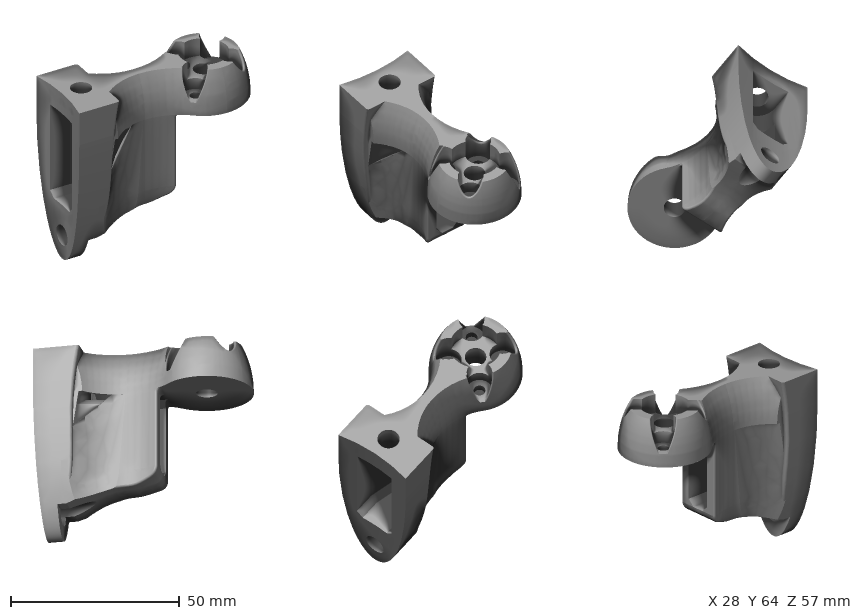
import cadquery as cq
import math


HEAD_RADIUS = 14.0
HEAD_HEIGHT = 14.0
DOME_INSET = 3.2
POCKET_RADIUS = 7.7
POCKET_DEPTH = 6.0
HEAD_HOLE_RADIUS = 3.2
LOBE_RADIUS = 3.8
LOBE_DEPTH = 9.75
LOBE_HOLE_RADIUS = 1.75
LOBE_HOLE_DEPTH = 12.0
NEAR_LOBE_OFFSET = 8.0
FIRST_LOBE_ANGLE = -135.0
FAR_LOBE_OFFSET = 9.5
NEAR_NOTCH_ROUND = 0.45
FAR_NOTCH_ROUND = 0.3

BLOCK_HALF_WIDTH = 12.65
PART_HEIGHT = 57.0
OUTLINE_STRAIGHT = 11.0
FRONT_Y = -50.0
FRONT_SAGITTA = 1.5
TAB_TOP_Z = -48.2
TAB_BACK_Y = -43.8
BLOCK_BACK_CURVE = [(-36.0, 0), (-37.3, -8.0), (-38.2, -18.5), (-38.9, -38.5), (-41.0, TAB_TOP_Z)]
BLOCK_CORNER_ROUND = 0.8
SHOULDER_X = 10.7

NECK_Y = -23.0
NECK_HALF_WIDTH = 5.14
NECK_INSET = 3.6
FRONT_SCOOP_RADIUS = 16.8
UNDERCUT_TOP_Y = -24.1
UNDERCUT_LOW_Y = -29.5
WEB_REAR_Y = -13.4
WEB_BEND_Z = -38.5
WEB_BOTTOM_DRAW = 3.0
WEB_BOTTOM_CURVE = [(-14.5, -40.8), (-17.1, -42.1), (-21.0, -43.3), (-24.5, -43.5), (-30.2, -44.5),
                    (-35.5, -46.25), (-41.0, TAB_TOP_Z)]
WEB_EDGE_ROUND = 0.6
WEB_HEAD_FILLET = 1.2

SLOT_HALF_WIDTH = 6.5
SLOT_TOP_Z = -7.0
SLOT_AXIS_Y = -42.0
WINDOW_HALF_WIDTH = 4.0
WINDOW_Y = -31.5
SLOT_CHAMFER = 2.0
BOLT_HOLE_RADIUS = 3.3
TAB_HOLE_Z = -48.9

CLEARANCE = 5.0

REAR_SCOOP_RADIUS = (NECK_HALF_WIDTH**2 + NECK_Y**2 - HEAD_RADIUS**2) / (
    2 * (HEAD_RADIUS - NECK_HALF_WIDTH)
)


def cylinder(x, y, radius, z_low, z_high):
    return cq.Workplane("XY", origin=(x, y, z_low)).circle(radius).extrude(z_high - z_low)


def extrude_block_wide(profile):
    """Extrude a sketch drawn in the YZ plane over the full width of the block."""
    return profile.extrude(BLOCK_HALF_WIDTH, both=True)


def box_between(low, high):
    size = [b - a for a, b in zip(low, high)]
    return cq.Workplane("XY").box(*size, centered=False).translate(low)


def middle_inset(height, inset):
    """Inset halfway along an arc that starts vertical and has drawn in by `inset` at `height`."""
    radius = (height**2 + inset**2) / (2 * inset)
    return radius - math.sqrt(radius**2 - height**2 / 4)


def dome_head():
    middle = (HEAD_RADIUS - middle_inset(HEAD_HEIGHT, DOME_INSET), -HEAD_HEIGHT / 2)
    return (
        cq.Workplane("XZ")
        .moveTo(0, -HEAD_HEIGHT)
        .lineTo(HEAD_RADIUS, -HEAD_HEIGHT)
        .threePointArc(middle, (HEAD_RADIUS - DOME_INSET, 0))
        .lineTo(0, 0)
        .close()
        .revolve(360, (0, 0, 0), (0, 1, 0))
    )


def drill_lobes(body, radius, depth):
    """Drill at the four lobe centres, on the diagonals and alternately near and far."""
    for index in range(4):
        offset = (NEAR_LOBE_OFFSET, FAR_LOBE_OFFSET)[index % 2]
        drill = cylinder(-offset, 0, radius, -depth, CLEARANCE)
        body = body.cut(drill.rotate((0, 0, 0), (0, 0, 1), FIRST_LOBE_ANGLE + 90 * index))
    return body


def notched_head():
    """Head whose lobes break out through the flank in notches with rounded edges."""
    dome = dome_head()
    head = drill_lobes(dome, LOBE_RADIUS, HEAD_HEIGHT + CLEARANCE)
    for x_sign in (-1, 1):
        for y_sign, offset, size in (
            (x_sign, NEAR_LOBE_OFFSET, NEAR_NOTCH_ROUND),
            (-x_sign, FAR_LOBE_OFFSET, FAR_NOTCH_ROUND),
        ):
            reach = (offset + LOBE_RADIUS) / math.sqrt(2)
            notch = (x_sign * reach, y_sign * reach, -HEAD_HEIGHT / 4)
            notch_edge = cq.selectors.NearestToPointSelector(notch)
            head = head.edges("%BSPLINE").edges(notch_edge).fillet(size)
    below_lobes = box_between(
        (-HEAD_RADIUS, -HEAD_RADIUS, -HEAD_HEIGHT), (HEAD_RADIUS, HEAD_RADIUS, -LOBE_DEPTH)
    )
    above_top = box_between((-HEAD_RADIUS, -HEAD_RADIUS, 0), (HEAD_RADIUS, HEAD_RADIUS, CLEARANCE))
    return head.cut(above_top).union(dome.intersect(below_lobes))


def cut_head_holes(body):
    body = body.cut(cylinder(0, 0, POCKET_RADIUS, -POCKET_DEPTH, CLEARANCE))
    body = body.cut(cylinder(0, 0, HEAD_HOLE_RADIUS, -HEAD_HEIGHT - CLEARANCE, CLEARANCE))
    return drill_lobes(body, LOBE_HOLE_RADIUS, LOBE_HOLE_DEPTH)


def scoop(radius):
    """Revolved cutter: a cylindrical waist that widens above and below along arcs."""
    low_z = -PART_HEIGHT
    drop = WEB_BEND_Z - low_z
    low_middle = (radius + middle_inset(drop, WEB_BOTTOM_DRAW), WEB_BEND_Z - drop / 2)
    top_middle = (radius + middle_inset(HEAD_HEIGHT, NECK_INSET), -HEAD_HEIGHT / 2)
    return (
        cq.Workplane("XZ")
        .moveTo(0, low_z)
        .lineTo(radius + WEB_BOTTOM_DRAW, low_z)
        .threePointArc(low_middle, (radius, WEB_BEND_Z))
        .lineTo(radius, -HEAD_HEIGHT)
        .threePointArc(top_middle, (radius + NECK_INSET, 0))
        .lineTo(0, 0)
        .close()
        .revolve(360, (0, 0, 0), (0, 1, 0))
        .translate((NECK_HALF_WIDTH + radius, NECK_Y, 0))
    )


def leaning_scoop():
    """Oblique cylinder that leans forward as it goes down, undercutting the block."""
    x = NECK_HALF_WIDTH + FRONT_SCOOP_RADIUS
    wires = [
        cq.Wire.makeCircle(FRONT_SCOOP_RADIUS, cq.Vector(x, y, z), cq.Vector(0, 0, 1))
        for y, z in ((UNDERCUT_TOP_Y, -HEAD_HEIGHT), (UNDERCUT_LOW_Y, TAB_TOP_Z))
    ]
    return cq.Workplane(cq.Solid.makeLoft(wires, True))


def right_scoop():
    """Rear arc tangent to the head, front arc flaring out to the block."""
    reach = 2 * PART_HEIGHT
    rear_half = box_between((0, NECK_Y, -PART_HEIGHT), (reach, reach, 0))
    front_half = box_between((0, -reach, -PART_HEIGHT), (reach, NECK_Y, 0))
    rear = scoop(REAR_SCOOP_RADIUS).intersect(rear_half)
    front = scoop(FRONT_SCOOP_RADIUS).union(leaning_scoop()).intersect(front_half)
    return rear.union(front)


def outline_prism():
    """Block outline: straight sides closed below by a half ellipse, extruded along Y."""
    return (
        cq.Workplane("XZ")
        .moveTo(-BLOCK_HALF_WIDTH, 0)
        .lineTo(BLOCK_HALF_WIDTH, 0)
        .lineTo(BLOCK_HALF_WIDTH, -OUTLINE_STRAIGHT)
        .ellipseArc(
            BLOCK_HALF_WIDTH, PART_HEIGHT - OUTLINE_STRAIGHT, angle1=180, angle2=360, sense=-1
        )
        .close()
        .extrude(-FRONT_Y)
    )


def block():
    side = (
        cq.Workplane("YZ")
        .moveTo(FRONT_Y, 0)
        .lineTo(*BLOCK_BACK_CURVE[0])
        .spline(BLOCK_BACK_CURVE[1:], includeCurrent=True)
        .lineTo(TAB_BACK_Y, TAB_TOP_Z)
        .lineTo(TAB_BACK_Y, -PART_HEIGHT)
        .lineTo(FRONT_Y, -PART_HEIGHT)
        .close()
    )
    body = outline_prism().intersect(extrude_block_wide(side))
    back_y, back_z = BLOCK_BACK_CURVE[1]
    for x in (-BLOCK_HALF_WIDTH, BLOCK_HALF_WIDTH):
        corner = cq.selectors.NearestToPointSelector((x, back_y, back_z / 2))
        body = body.edges("%BSPLINE").edges(corner).fillet(BLOCK_CORNER_ROUND)
    return body


def tangent_wedge():
    """Prism between the two planes in which the scoops touch the head."""
    scoop_x = NECK_HALF_WIDTH + REAR_SCOOP_RADIUS
    return (
        cq.Workplane("XY", origin=(0, 0, -PART_HEIGHT))
        .polyline([(0, 0), (scoop_x, NECK_Y), (scoop_x, FRONT_Y), (-scoop_x, FRONT_Y), (-scoop_x, NECK_Y)])
        .close()
        .extrude(PART_HEIGHT)
    )


def web():
    """Upright wall under the neck, closed below by the curved underside."""
    side = (
        cq.Workplane("YZ")
        .moveTo(SLOT_AXIS_Y, -HEAD_HEIGHT)
        .lineTo(WEB_REAR_Y + WEB_HEAD_FILLET, -HEAD_HEIGHT)
        .radiusArc((WEB_REAR_Y, -HEAD_HEIGHT - WEB_HEAD_FILLET), -WEB_HEAD_FILLET)
        .lineTo(WEB_REAR_Y, WEB_BEND_Z)
        .spline(WEB_BOTTOM_CURVE, includeCurrent=True)
        .lineTo(SLOT_AXIS_Y, TAB_TOP_Z)
        .close()
    )
    side = extrude_block_wide(side)
    return cut_flanks(outline_prism().intersect(side))


def neck():
    """Arm between the head and the block, as deep as the head."""
    arm = tangent_wedge().intersect(
        box_between((-BLOCK_HALF_WIDTH, SLOT_AXIS_Y, -HEAD_HEIGHT), (BLOCK_HALF_WIDTH, 0, 0))
    )
    return drill_lobes(cut_flanks(arm), LOBE_RADIUS + NEAR_NOTCH_ROUND, LOBE_DEPTH)


def cut_flanks(body):
    """Scoop both sides and clear the flare beside the block."""
    shoulder = box_between((SHOULDER_X, SLOT_AXIS_Y, -PART_HEIGHT), (HEAD_RADIUS, NECK_Y, 0))
    for cutter in (right_scoop(), shoulder):
        body = body.cut(cutter).cut(cutter.mirror("YZ"))
    return body


def round_web_edges(body):
    for x_sign in (-1, 1):
        corner = cq.selectors.NearestToPointSelector((x_sign * HEAD_RADIUS / 2, WEB_REAR_Y, WEB_BEND_Z / 2))
        body = body.edges("|Z").edges(corner).fillet(WEB_EDGE_ROUND)
    return body


def octagon(half_width, y):
    """Slot cross-section with chamfered corners, facing along Y."""
    top = -HEAD_HEIGHT
    flat = half_width - SLOT_CHAMFER
    points = [
        (flat, top),
        (half_width, top - SLOT_CHAMFER),
        (half_width, WEB_BEND_Z + SLOT_CHAMFER),
        (flat, WEB_BEND_Z),
    ]
    points += [(-x, z) for x, z in reversed(points)]
    return cq.Workplane("XZ", origin=(0, y, 0)).polyline(points).close()


def slot():
    pocket = box_between(
        (-SLOT_HALF_WIDTH, FRONT_Y - CLEARANCE, WEB_BEND_Z), (SLOT_HALF_WIDTH, SLOT_AXIS_Y, SLOT_TOP_Z)
    )
    pocket = pocket.edges("|Y and <Z").chamfer(SLOT_CHAMFER)
    round_end = cylinder(0, SLOT_AXIS_Y, SLOT_HALF_WIDTH, -HEAD_HEIGHT - SLOT_CHAMFER, SLOT_TOP_Z)
    taper = cq.Workplane(
        cq.Solid.makeLoft(
            [
                octagon(SLOT_HALF_WIDTH, SLOT_AXIS_Y).wires().val(),
                octagon(WINDOW_HALF_WIDTH, WINDOW_Y).wires().val(),
            ],
            True,
        )
    )
    window = octagon(WINDOW_HALF_WIDTH, WINDOW_Y).extrude(WINDOW_Y - WEB_REAR_Y - CLEARANCE)
    return pocket.union(round_end).union(taper).union(window)


def front_hollow():
    radius = (BLOCK_HALF_WIDTH**2 + FRONT_SAGITTA**2) / (2 * FRONT_SAGITTA)
    return cylinder(0, FRONT_Y + FRONT_SAGITTA - radius, radius, -PART_HEIGHT - CLEARANCE, CLEARANCE)


def tab_hole():
    return cq.Workplane("XZ", origin=(0, 0, TAB_HOLE_Z)).circle(BOLT_HOLE_RADIUS).extrude(
        -FRONT_Y + CLEARANCE
    )


result = notched_head().union(neck()).union(round_web_edges(web())).union(block())
result = cut_head_holes(result)
result = result.cut(front_hollow()).cut(slot()).cut(tab_hole())
result = result.cut(cylinder(0, SLOT_AXIS_Y, BOLT_HOLE_RADIUS, SLOT_TOP_Z - CLEARANCE, CLEARANCE))